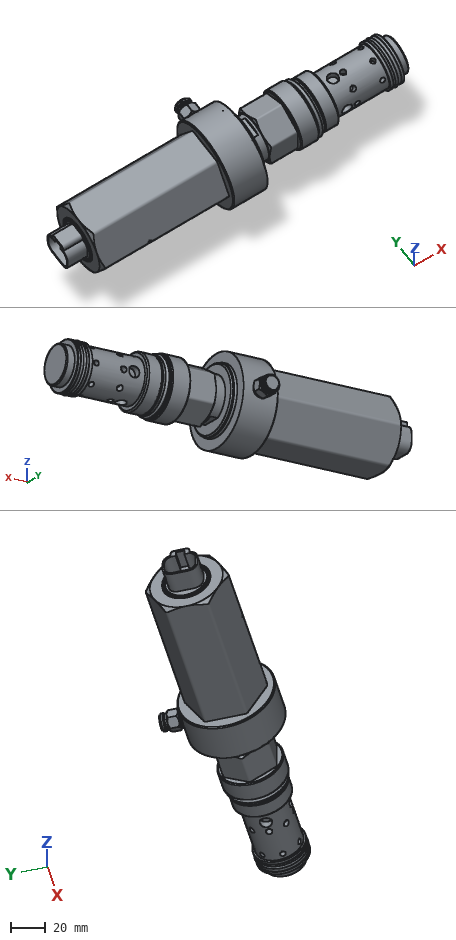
import cadquery as cq
import math


socket_half_width = 10.4
socket_half_height = 8.3
socket_corner = 5.7
socket_wall = 1.2
socket_depth = 11.8
key_half_width = 5.7
key_top = 11.8
key_corner = 2.1
keyway_half_width = 2.5
keyway_top = 10.1
pin_radius = 0.83
pin_length = 2.4
pin_y = 4.5
pin_z = 2.4

lip_x = 13.7
hex_x = 14.4
flange_x = 102.3
flange_end_x = 126.1
housing_end_x = 129.7
lip_radius = 14.4
lip_groove_outer = 13.5
lip_groove_width = 1.0
hex_apothem = 21.7
hex_edge_fillet = 2.1
hex_chamfer_length = 2.1
vent_x = 47.6
vent_radius = 1.2
vent_depth = 2.4
flange_radius = 29.2
flange_chamfer = 0.7
bead_radius = 22.5
bead_width = 1.7
end_plate_radius = 22.0
end_plate_chamfer = 1.0

fitting_x = 114.5
fitting_top_y = 42.0
stem_radius = 3.5
stem_depth = 4.7
fitting_base_radius = 5.2
fitting_hex_y = 30.2
fitting_hex_end_y = 37.5
fitting_hex_apothem = 5.7
fitting_hex_chamfer = 1.2
fitting_neck_radius = 5.0
fitting_neck_end_y = 39.0
fitting_groove_radius = 4.0
release_rim_y = 39.5
release_rim_end_y = 41.0
release_rim_radius = 5.5
release_end_radius = 4.5

neck_flats_end_x = 134.5
nut_x = 136.5
collar_x = 155.8
collar_end_x = 168.5
shoulder_x = 174.5
sleeve_x = 183.9
gland_x = 220.5
nose_x = 230.3
cartridge_end_x = 235.7
neck_radius = 15.0
neck_flat_height = 13.5
nut_apothem = 16.0
nut_edge_fillet = 1.7
nut_chamfer_length = 1.2
collar_radius = 19.8
collar_chamfer = 0.7
shoulder_radius = 18.0
shoulder_chamfer = 1.0
undercut_width = 1.0
undercut_depth = 1.0
sleeve_radius = 14.5
gland_radius = 16.0
gland_land = 2.1
gland_step = 0.35
nose_radius = 12.5
nose_chamfer = 0.7

port_depth = 4.7
main_port_x = 191.2
main_port_radius = 3.5
main_port_count = 4
small_port_x = 198.3
small_port_radius = 2.0
small_port_count = 8
pilot_port_x = 216.9
pilot_port_radius = 1.7
pilot_port_count = 7

collar_seal = (170.7, 18.0, 1.2)
gland_seal = (225.1, 15.3, 1.0)


def turned(points):
    """Revolve (x, radius) points, closed along the X axis, into a solid."""
    return cq.Workplane("XY").polyline(points).close().revolve(360, (0, 0, 0), (1, 0, 0))


def disc(radius, start_x, end_x):
    return cq.Workplane("YZ", origin=(start_x, 0, 0)).circle(radius).extrude(end_x - start_x)


def hexagon(apothem, start_x, end_x, edge_fillet, turn):
    """Hexagonal bar along X with rounded edges; at turn 0 two edges lie at +Y and -Y."""
    across_corners = 2 * apothem / math.cos(math.pi / 6)
    bar = cq.Workplane("YZ", origin=(start_x, 0, 0)).polygon(6, across_corners).extrude(end_x - start_x)
    return bar.edges("|X").fillet(edge_fillet).rotate((0, 0, 0), (1, 0, 0), turn)


def lathe_chamfered(bar, apothem, start_x, end_x, chamfer_length):
    """Cut the corners at the start of a hexagonal bar with a cone that begins at the flats."""
    corner_radius = apothem / math.cos(math.pi / 6)
    envelope = turned([
        (start_x, 0),
        (start_x, apothem),
        (start_x + chamfer_length, corner_radius),
        (end_x, corner_radius),
        (end_x, 0),
    ])
    return bar.intersect(envelope)


def make_socket():
    """Rounded rectangular socket with a key on top and three contact pins inside."""
    def rounded_block(half_width, half_height, corner, start_x, end_x):
        block = cq.Workplane("YZ", origin=(start_x, 0, 0)).rect(2 * half_width, 2 * half_height)
        return block.extrude(end_x - start_x).edges("|X").fillet(corner)

    shell = rounded_block(socket_half_width, socket_half_height, socket_corner, 0, hex_x)
    key = (
        cq.Workplane("YZ")
        .center(0, key_top / 2)
        .rect(2 * key_half_width, key_top)
        .extrude(hex_x)
        .edges("|X and >Z")
        .fillet(key_corner)
    )
    cavity = rounded_block(
        socket_half_width - socket_wall,
        socket_half_height - socket_wall,
        socket_corner - socket_wall,
        0,
        socket_depth,
    )
    keyway = (
        cq.Workplane("YZ")
        .center(0, keyway_top / 2)
        .rect(2 * keyway_half_width, keyway_top)
        .extrude(socket_depth)
    )
    pins = (
        cq.Workplane("YZ", origin=(socket_depth - pin_length, 0, 0))
        .pushPoints([(-pin_y, pin_z), (-pin_y, -pin_z), (pin_y, -pin_z)])
        .circle(pin_radius)
        .extrude(pin_length)
    )
    return shell.union(key).cut(cavity).cut(keyway).union(pins)


def make_housing():
    lip = disc(lip_radius, lip_x, hex_x)
    lip_groove = disc(lip_groove_outer, lip_x, hex_x).cut(
        disc(lip_groove_outer - lip_groove_width, lip_x, hex_x)
    )
    hex_body = lathe_chamfered(
        hexagon(hex_apothem, hex_x, flange_x, hex_edge_fillet, 0),
        hex_apothem,
        hex_x,
        flange_x,
        hex_chamfer_length,
    )
    flange = disc(flange_radius, flange_x, flange_end_x).faces("<X").chamfer(flange_chamfer)
    bead_end_x = flange_end_x + bead_width
    bead = (
        disc(bead_radius, flange_end_x, bead_end_x).faces(">X").edges().fillet(bead_width / 2)
    )
    end_plate = (
        disc(end_plate_radius, bead_end_x, housing_end_x).faces(">X").chamfer(end_plate_chamfer)
    )
    stem_hole = (
        cq.Workplane("XZ", origin=(fitting_x, flange_radius, 0))
        .circle(stem_radius)
        .extrude(stem_depth)
    )
    hex_corner_radius = hex_apothem / math.cos(math.pi / 6)
    vent = (
        cq.Workplane("XZ", origin=(vent_x, vent_depth - hex_corner_radius, 0))
        .circle(vent_radius)
        .extrude(vent_depth)
    )
    housing = hex_body.union(lip.cut(lip_groove)).union(make_socket())
    return housing.union(flange).union(bead).union(end_plate).cut(stem_hole).cut(vent)


def make_fitting():
    """Push-in air fitting: stem, hexagon and release collar along +Y."""
    turned_parts = (
        cq.Workplane("XY")
        .polyline([
            (0, flange_radius - stem_depth),
            (stem_radius, flange_radius - stem_depth),
            (stem_radius, flange_radius),
            (fitting_base_radius, flange_radius),
            (fitting_base_radius, fitting_hex_y),
            (fitting_neck_radius, fitting_hex_end_y),
            (fitting_neck_radius, fitting_neck_end_y),
            (fitting_groove_radius, fitting_neck_end_y),
            (fitting_groove_radius, release_rim_y),
            (release_rim_radius, release_rim_y),
            (release_rim_radius, release_rim_end_y),
            (release_end_radius, release_rim_end_y),
            (release_end_radius, fitting_top_y),
            (0, fitting_top_y),
        ])
        .close()
        .revolve(360, (0, 0, 0), (0, 1, 0))
    )
    hex_length = fitting_hex_end_y - fitting_hex_y
    corner_radius = fitting_hex_apothem / math.cos(math.pi / 6)
    hex_plane = cq.Workplane("XZ", origin=(0, fitting_hex_end_y, 0))
    envelope = hex_plane.circle(corner_radius).extrude(hex_length).edges().chamfer(fitting_hex_chamfer)
    grip = (
        hex_plane.polygon(6, 2 * corner_radius)
        .extrude(hex_length)
        .rotate((0, 0, 0), (0, 1, 0), 30)
        .intersect(envelope)
    )
    return turned_parts.union(grip).translate((fitting_x, 0, 0))


def first_port_angle(count):
    """An odd ring of ports has one facing +Y, an even ring one facing -Y."""
    return 180 if count % 2 else 0


def drill_ports(body, port_x, port_radius, count):
    """Drill equally spaced radial ports into the sleeve, with one on the Y axis."""
    for index in range(count):
        port = (
            cq.Workplane("XZ", origin=(port_x, port_depth - sleeve_radius, 0))
            .circle(port_radius)
            .extrude(port_depth)
            .rotate((0, 0, 0), (1, 0, 0), index * 360 / count + first_port_angle(count))
        )
        body = body.cut(port)
    return body


def seal_groove(seal):
    """Square groove that the ring fills from wall to wall."""
    ring_x, ring_radius, section_radius = seal
    outer = disc(ring_radius + 2 * section_radius, ring_x - section_radius, ring_x + section_radius)
    core = disc(ring_radius - section_radius, ring_x - section_radius, ring_x + section_radius)
    return outer.cut(core)


def make_cartridge():
    neck = disc(neck_radius, housing_end_x, nut_x)
    for side in (1, -1):
        flat = cq.Workplane("XY").box(
            neck_flats_end_x - housing_end_x,
            2 * neck_radius,
            neck_radius,
            centered=(False, True, True),
        )
        neck = neck.cut(flat.translate((housing_end_x, 0, side * (neck_flat_height + neck_radius / 2))))
    nut = lathe_chamfered(
        hexagon(nut_apothem, nut_x, collar_x, nut_edge_fillet, 90),
        nut_apothem,
        nut_x,
        collar_x,
        nut_chamfer_length,
    )
    collar = disc(collar_radius, collar_x, collar_end_x).edges().chamfer(collar_chamfer)
    land_inner_radius = gland_radius - gland_step
    body = turned([
        (collar_end_x, 0),
        (collar_end_x, shoulder_radius),
        (shoulder_x - undercut_width, shoulder_radius),
        (shoulder_x - undercut_width, shoulder_radius - undercut_depth),
        (shoulder_x, shoulder_radius - undercut_depth),
        (shoulder_x, shoulder_radius),
        (sleeve_x - shoulder_chamfer, shoulder_radius),
        (sleeve_x, shoulder_radius - shoulder_chamfer),
        (sleeve_x, sleeve_radius),
        (gland_x, sleeve_radius),
        (gland_x, gland_radius),
        (gland_x + gland_land, gland_radius),
        (gland_x + gland_land, land_inner_radius),
        (nose_x - gland_land, land_inner_radius),
        (nose_x - gland_land, gland_radius),
        (nose_x - gland_step, gland_radius),
        (nose_x, land_inner_radius),
        (nose_x, nose_radius),
        (cartridge_end_x - nose_chamfer, nose_radius),
        (cartridge_end_x, nose_radius - nose_chamfer),
        (cartridge_end_x, 0),
    ])
    body = body.cut(seal_groove(collar_seal)).cut(seal_groove(gland_seal))
    body = drill_ports(body, main_port_x, main_port_radius, main_port_count)
    body = drill_ports(body, small_port_x, small_port_radius, small_port_count)
    body = drill_ports(body, pilot_port_x, pilot_port_radius, pilot_port_count)
    return neck.union(nut).union(collar).union(body)


def make_seal(seal):
    ring_x, ring_radius, section_radius = seal
    return cq.Workplane(
        cq.Solid.makeTorus(ring_radius, section_radius, cq.Vector(ring_x, 0, 0), cq.Vector(1, 0, 0))
    )


housing = make_housing()
fitting = make_fitting()
cartridge = make_cartridge()
seals = [make_seal(seal) for seal in (collar_seal, gland_seal)]

result = cq.Compound.makeCompound(
    [housing.val(), fitting.val(), cartridge.val(), *[seal.val() for seal in seals]]
)